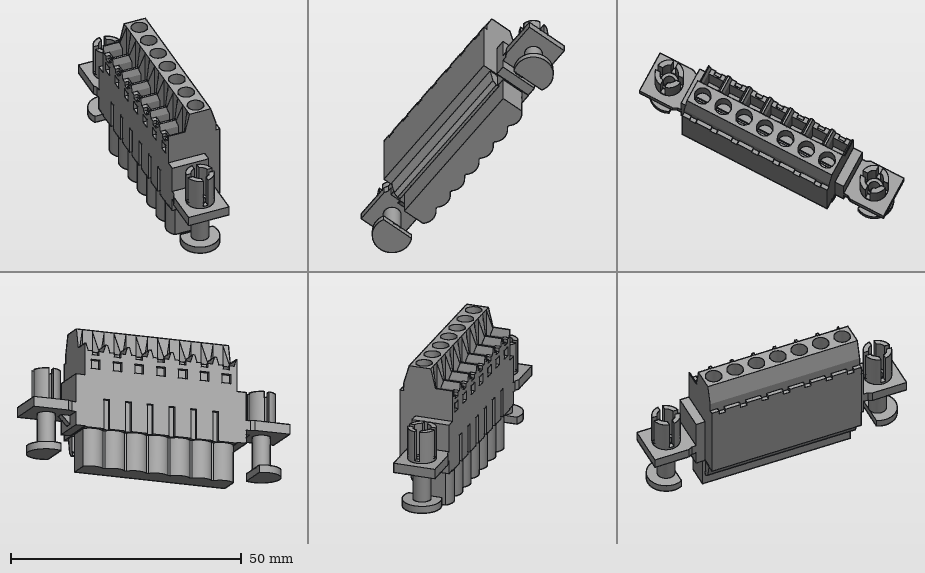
import cadquery as cq
import math


POLES = 7
PITCH = 5.1
POLE_X = [(i - (POLES - 1) / 2) * PITCH for i in range(POLES)]
GAP_X = [x + PITCH / 2 for x in POLE_X[:-1]]

BODY_LENGTH = 35.5
FRONT_Y = -4.3
BACK_Y = 7.9
BODY_BOTTOM_Z = 8.5
TOP_Z = 31.8
WIRE_DECK_Z = 27.3
RIDGE_FRONT_Y = 0.7
RIDGE_BACK_Y = 5.75
RIDGE_FRONT_FOOT_Y = -0.35
RIDGE_BACK_FOOT_Y = 7.0
RIDGE_BACK_FOOT_Z = 27.55
LEDGE_Z = 25.7

SHOULDER_LENGTH = 39.8
SHOULDER_BOTTOM_Z = 8.65
SHOULDER_TOP_Z = 20.15

TOWER_WIDTH = 4.6
TOWER_BACK_Y = 2.45
TOWER_FLAT_Y = -2.6
TOWER_CROWN_Y = -3.65

LATCH_LENGTH = POLE_X[-1] - POLE_X[0] + TOWER_WIDTH

FUNNEL_BACK_Y = 0.65
FUNNEL_BACK_WIDTH = 2.35
FUNNEL_WIDTH = 4.6
PIT_WIDTH = 3.6
PIT_FRONT_Y = -3.05
PIT_FLOOR_Z = 17.9
SILL_Z = 25.7
NOTCH_WIDTH = 1.5
NOTCH_FRONT_DEPTH = 0.9
NOTCH_DROP = 0.85

WINDOW_SIZE = 2.05
WINDOW_CENTER_Z = 22.75
WINDOW_DEPTH = 0.9
CODING_SLOT_WIDTH = 1.3
CODING_SLOT_TOP_Z = 15.1
CODING_SLOT_DEPTH = 0.7

CLAMP_Y = (RIDGE_FRONT_Y + RIDGE_BACK_Y) / 2
CLAMP_RADIUS = 1.8
CLAMP_TOP_Z = 26.9
CLAMP_LENGTH = 6.0
CLAMP_SLOT_WIDTH = 0.55
CLAMP_SLOT_DEPTH = 0.9

OVERALL_LENGTH = 59.75
FLANGE_SCREW_X = 25.1
FLANGE_BOTTOM_Z = 11.65
FLANGE_TOP_Z = 13.85
FLANGE_HALF_DEPTH = 4.8
FLANGE_WIDE_X = 21.75
FLANGE_NARROW_X = 20.85
GUSSET_REACH = 2.05
GUSSET_WIDTH = 1.8

BOSS_RADIUS = 3.1
BOSS_TOP_Z = 21.2
BOSS_SLOT_WIDTH = 1.1
BOSS_SLOT_FLOOR_Z = 14.4

SHAFT_RADIUS = 2.0
DISC_RADIUS = 4.3
DISC_BOTTOM_Z = 2.6
DISC_TOP_Z = 4.3
SOCKET_TOP_RADIUS = 1.25
SOCKET_BOTTOM_RADIUS = 0.95
SOCKET_DEPTH = 4.8


def block(x0, x1, y0, y1, z0, z1):
    """Box between two opposite corners."""
    return cq.Workplane("XY").box(x1 - x0, y1 - y0, z1 - z0, centered=False).translate((x0, y0, z0))


def centered_block(x, width, y0, y1, z0, z1):
    """Box of a given width, centred on x."""
    return block(x - width / 2, x + width / 2, y0, y1, z0, z1)


def cylinder(x, y, radius, z0, z1):
    """Upright cylinder."""
    return cq.Workplane("XY").circle(radius).extrude(z1 - z0).translate((x, y, z0))


def bar_along_x(profile, length):
    """Straight bar with a (y, z) profile, centred on X = 0."""
    return cq.Workplane("YZ").polyline(profile).close().extrude(length / 2, both=True)


def upright_prism(outline, z0, z1):
    """Prism with an (x, y) outline."""
    return cq.Workplane("XY").polyline(outline).close().extrude(z1 - z0).translate((0, 0, z0))


def body():
    profile = [
        (FRONT_Y, BODY_BOTTOM_Z),
        (FRONT_Y, WIRE_DECK_Z),
        (RIDGE_FRONT_FOOT_Y, WIRE_DECK_Z),
        (RIDGE_FRONT_Y, TOP_Z),
        (RIDGE_BACK_Y, TOP_Z),
        (RIDGE_BACK_FOOT_Y, RIDGE_BACK_FOOT_Z),
        (RIDGE_BACK_FOOT_Y, LEDGE_Z),
        (BACK_Y, LEDGE_Z),
        (BACK_Y, BODY_BOTTOM_Z),
    ]
    shoulders = centered_block(0, SHOULDER_LENGTH, FRONT_Y, -FRONT_Y, SHOULDER_BOTTOM_Z, SHOULDER_TOP_Z)
    return bar_along_x(profile, BODY_LENGTH).union(shoulders)


def plug_towers():
    """Flat-backed block whose front bulges out once per pole."""
    half = TOWER_WIDTH / 2
    outline = cq.Workplane("XY").moveTo(POLE_X[0] - half, TOWER_BACK_Y)
    for x in POLE_X:
        outline = outline.lineTo(x - half, TOWER_FLAT_Y)
        outline = outline.threePointArc((x, TOWER_CROWN_Y), (x + half, TOWER_FLAT_Y))
    return outline.lineTo(POLE_X[-1] + half, TOWER_BACK_Y).close().extrude(BODY_BOTTOM_Z)


def latch_bar():
    """Hooked bar hanging from the body behind the towers."""
    profile = [
        (6.0, BODY_BOTTOM_Z),
        (5.25, 4.95),
        (4.3, 4.05),
        (3.65, 4.05),
        (3.65, 4.7),
        (3.95, 5.0),
        (3.95, BODY_BOTTOM_Z),
    ]
    return bar_along_x(profile, LATCH_LENGTH)


def funnel_outline(x, width, front_y):
    """Plan of a wire entry: narrow at the back, flaring at 45 degrees to its full width."""
    half_back = FUNNEL_BACK_WIDTH / 2
    half = width / 2
    flare_end_y = FUNNEL_BACK_Y - (half - half_back)
    return [
        (x - half_back, FUNNEL_BACK_Y),
        (x + half_back, FUNNEL_BACK_Y),
        (x + half, flare_end_y),
        (x + half, front_y),
        (x - half, front_y),
        (x - half, flare_end_y),
    ]


def wire_entry(x):
    """Funnel, deep pit and notched sill of one pole, as a cutting solid."""
    half_sill = PIT_WIDTH / 2
    half_mouth = FUNNEL_WIDTH / 2
    mouth_profile = [
        (x - half_sill, SILL_Z),
        (x + half_sill, SILL_Z),
        (x + half_mouth, WIRE_DECK_Z),
        (x + half_mouth, TOP_Z),
        (x - half_mouth, TOP_Z),
        (x - half_mouth, WIRE_DECK_Z),
    ]
    mouth = cq.Workplane("XZ").polyline(mouth_profile).close().extrude(BACK_Y, both=True)
    funnel = upright_prism(funnel_outline(x, FUNNEL_WIDTH, FRONT_Y), SILL_Z, TOP_Z).intersect(mouth)
    pit = upright_prism(funnel_outline(x, PIT_WIDTH, PIT_FRONT_Y), PIT_FLOOR_Z, SILL_Z)
    notch = centered_block(
        x, NOTCH_WIDTH, FRONT_Y, FRONT_Y + NOTCH_FRONT_DEPTH, SILL_Z - NOTCH_DROP, SILL_Z
    )
    return funnel.union(pit).union(notch)


def window(x):
    half = WINDOW_SIZE / 2
    return centered_block(
        x, WINDOW_SIZE, FRONT_Y, FRONT_Y + WINDOW_DEPTH, WINDOW_CENTER_Z - half, WINDOW_CENTER_Z + half
    )


def ledge_notch(x):
    return centered_block(x, NOTCH_WIDTH, RIDGE_BACK_FOOT_Y, BACK_Y, LEDGE_Z - NOTCH_DROP, LEDGE_Z)


def coding_slot(x):
    return centered_block(
        x, CODING_SLOT_WIDTH, FRONT_Y, FRONT_Y + CODING_SLOT_DEPTH, BODY_BOTTOM_Z, CODING_SLOT_TOP_Z
    )


def clamp_hole(x):
    return cylinder(x, CLAMP_Y, CLAMP_RADIUS, CLAMP_TOP_Z - CLAMP_LENGTH, TOP_Z)


def flange():
    """Flange plate at the +X end with its gusset and slotted boss."""
    shoulder_x = SHOULDER_LENGTH / 2
    end_x = OVERALL_LENGTH / 2
    plate_outline = [
        (shoulder_x, FRONT_Y),
        (FLANGE_NARROW_X, FRONT_Y),
        (FLANGE_WIDE_X, -FLANGE_HALF_DEPTH),
        (end_x, -FLANGE_HALF_DEPTH),
        (end_x, FLANGE_HALF_DEPTH),
        (FLANGE_WIDE_X, FLANGE_HALF_DEPTH),
        (FLANGE_NARROW_X, -FRONT_Y),
        (shoulder_x, -FRONT_Y),
    ]
    plate = upright_prism(plate_outline, FLANGE_BOTTOM_Z, FLANGE_TOP_Z)

    gusset_profile = [
        (shoulder_x, FLANGE_BOTTOM_Z),
        (shoulder_x + GUSSET_REACH, FLANGE_BOTTOM_Z),
        (shoulder_x, FLANGE_BOTTOM_Z - GUSSET_REACH),
    ]
    gusset = cq.Workplane("XZ").polyline(gusset_profile).close().extrude(GUSSET_WIDTH / 2, both=True)

    boss = cylinder(FLANGE_SCREW_X, 0, BOSS_RADIUS, FLANGE_TOP_Z, BOSS_TOP_Z)
    half_slot = BOSS_SLOT_WIDTH / 2
    slot_along_y = centered_block(
        FLANGE_SCREW_X, BOSS_SLOT_WIDTH, -BOSS_RADIUS, BOSS_RADIUS, BOSS_SLOT_FLOOR_Z, BOSS_TOP_Z
    )
    slot_along_x = centered_block(
        FLANGE_SCREW_X, 2 * BOSS_RADIUS, -half_slot, half_slot, BOSS_SLOT_FLOOR_Z, BOSS_TOP_Z
    )
    boss = boss.cut(slot_along_x).cut(slot_along_y)

    bore = cylinder(FLANGE_SCREW_X, 0, SHAFT_RADIUS, FLANGE_BOTTOM_Z, BOSS_TOP_Z)
    return plate.union(gusset).union(boss).cut(bore)


def make_housing():
    right_flange = flange()
    left_flange = right_flange.mirror("YZ")
    shape = body().union(plug_towers()).union(latch_bar()).union(right_flange).union(left_flange)
    for x in POLE_X:
        shape = shape.cut(wire_entry(x)).cut(window(x)).cut(ledge_notch(x)).cut(clamp_hole(x))
    for x in GAP_X:
        shape = shape.cut(coding_slot(x))
    return shape


def make_clamp_screw(x):
    """Headless screw with a driver slot, filling the bottom of its hole."""
    screw = cylinder(x, CLAMP_Y, CLAMP_RADIUS, CLAMP_TOP_Z - CLAMP_LENGTH, CLAMP_TOP_Z)
    half_slot = CLAMP_SLOT_WIDTH / 2
    driver_slot = centered_block(
        x, 2 * CLAMP_RADIUS, CLAMP_Y - half_slot, CLAMP_Y + half_slot,
        CLAMP_TOP_Z - CLAMP_SLOT_DEPTH, CLAMP_TOP_Z
    )
    return screw.cut(driver_slot)


def make_flange_screw(side):
    """Flange screw on one side (+1 or -1): disc with a flat towards the body, shaft, tapered socket."""
    disc = cylinder(FLANGE_SCREW_X, 0, DISC_RADIUS, DISC_BOTTOM_Z, DISC_TOP_Z)
    flat_x = FLANGE_SCREW_X - SHAFT_RADIUS
    beyond_flat = block(
        flat_x - DISC_RADIUS, flat_x, -DISC_RADIUS, DISC_RADIUS, DISC_BOTTOM_Z, DISC_TOP_Z
    )
    shaft = cylinder(FLANGE_SCREW_X, 0, SHAFT_RADIUS, DISC_BOTTOM_Z, FLANGE_TOP_Z)
    taper_angle = math.degrees(math.atan((SOCKET_TOP_RADIUS - SOCKET_BOTTOM_RADIUS) / SOCKET_DEPTH))
    socket = (
        cq.Workplane("XY", origin=(FLANGE_SCREW_X, 0, FLANGE_TOP_Z))
        .circle(SOCKET_TOP_RADIUS)
        .extrude(-SOCKET_DEPTH, taper=taper_angle)
    )
    screw = disc.cut(beyond_flat).union(shaft).cut(socket)
    return screw if side > 0 else screw.mirror("YZ")


housing = make_housing()
clamp_screws = [make_clamp_screw(x) for x in POLE_X]
flange_screws = [make_flange_screw(side) for side in (-1, 1)]

result = cq.Compound.makeCompound(
    [housing.val(), *[screw.val() for screw in clamp_screws + flange_screws]]
)